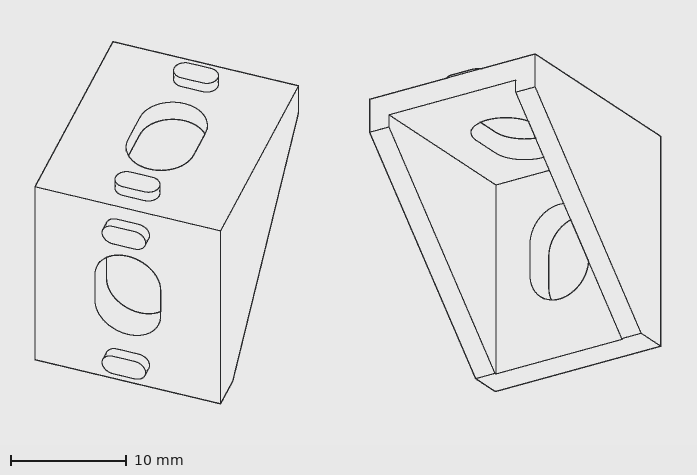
import cadquery as cq

width = 17.0
overall = 21.0
peg_height = 1.0
leg = overall - peg_height
toe = 3.15

top_plate = 2.0
front_plate = 3.0
gusset = 2.0

slot_length = 9.0
slot_width = 6.0
slot_offset = 10.0

peg_length = 4.0
peg_width = 2.02
peg_spacing = 15.0
peg_offset = 10.0


def make_body():
    """Triangular bracket with its outer corner at Y = 0, Z = 0."""
    profile = [(0, 0), (leg, 0), (leg, -toe), (toe, -leg), (0, -leg)]
    return cq.Workplane("YZ").polyline(profile).close().extrude(width / 2, both=True)


def make_hollow():
    """Space between the gussets, open towards the sloping side."""
    depth = leg - front_plate
    height = leg - top_plate
    hollow = cq.Workplane("XY").box(width - 2 * gusset, depth, height, centered=(True, False, False))
    return hollow.translate((0, front_plate, -leg))


def add_features(body, face, plate):
    """Cut the slot through one plate and add its two locating pegs."""
    slot = face.center(0, slot_offset).slot2D(slot_length, slot_width, 90).extrude(-plate)
    pegs = (
        face.center(0, peg_offset)
        .pushPoints([(0, -peg_spacing / 2), (0, peg_spacing / 2)])
        .slot2D(peg_length, peg_width)
        .extrude(peg_height)
    )
    return body.cut(slot).union(pegs)


top_face = cq.Workplane("XY")
front_face = cq.Workplane(cq.Plane(origin=(0, 0, 0), xDir=(-1, 0, 0), normal=(0, -1, 0)))

result = make_body().cut(make_hollow())
result = add_features(result, top_face, top_plate)
result = add_features(result, front_face, front_plate)